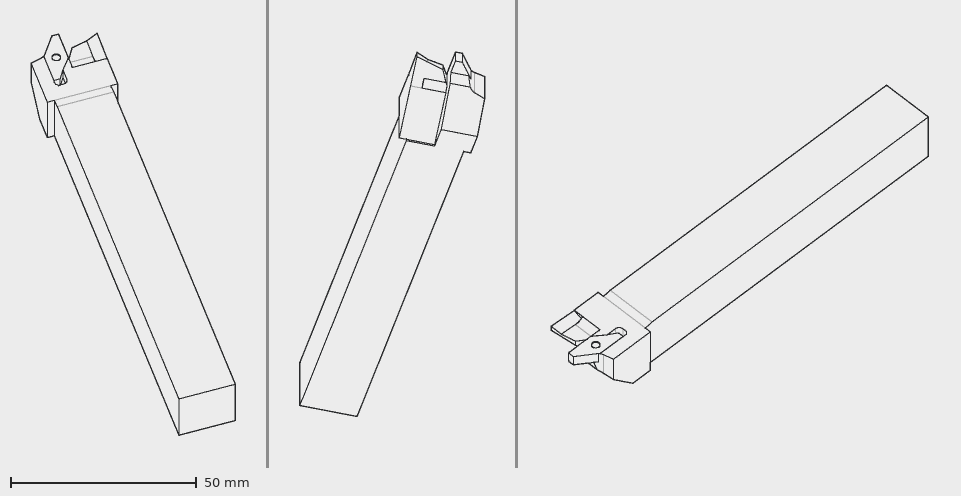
import cadquery as cq
import math

total_length = 128.3
shank_size = 16.0
head_width = 20.0
head_end = 21.0
head_top = 15.7
neck_end = 23.6
half_head = head_width / 2
half_shank = shank_size / 2

split_y = 0.1

nose_x = 4.6
nose_foot_x = 5.4
chamfer_size = 14.4
nose_arc_start = (nose_x, -4.9)
nose_arc_middle = (5.6, -5.8)
nose_arc_end = (6.3, -6.9)
front_side_x = 7.0
insert_side_y = -6.0

jaw_tip_x = 3.2
jaw_inner = (4.9, 2.3)
jaw_root_x = 8.5
jaw_tip_bottom = 14.4
jaw_break = (9.6, 9.4)
jaw_end_bottom = 0.5
relief_start = (7.5, 11.0)
relief_crown = (8.9, 10.5)
pocket_tip_z = 14.9
pocket_root_z = 14.5
pocket_fillet_x = 9.2
pocket_wall_x = 11.9
ledge_y = 6.8

insert_bottom = 12.3
insert_rise = 0.06
insert_tip_y = -1.8
insert_corner_x = 6.0
insert_shoulder = (11.9, -2.6)
insert_back = (14.6, -4.2)
seat_end = 16.5
seat_corner = 1.4
screw_center = (7.3, -3.0)
screw_radius = 1.2
screw_recess = 0.4


def plan_prism(points, bottom, top):
    """Extrude a plan outline between two heights."""
    return cq.Workplane("XY").workplane(offset=bottom).polyline(points).close().extrude(top - bottom)


def side_prism(profile, y_start, y_end):
    """Extrude a closed XZ profile between two Y positions."""
    return profile.close().extrude(y_start - y_end).translate((0, y_start, 0))


def side_outline(points):
    return cq.Workplane("XZ").polyline(points)


def make_shank():
    mid_x = (head_end + neck_end) / 2
    mid_z = head_top + (shank_size - head_top) / 4
    profile = (
        cq.Workplane("XZ")
        .moveTo(head_end, 0)
        .lineTo(total_length, 0)
        .lineTo(total_length, shank_size)
        .lineTo(neck_end, shank_size)
        .threePointArc((mid_x, mid_z), (head_end, head_top))
    )
    return side_prism(profile, -half_shank, half_shank)


def make_support():
    profile = side_outline([
        (nose_x, head_top),
        (nose_x, insert_bottom),
        (nose_foot_x, chamfer_size - nose_foot_x),
        (chamfer_size, 0),
        (head_end, 0),
        (head_end, head_top),
    ])
    plan = (
        cq.Workplane("XY")
        .moveTo(nose_x, split_y)
        .lineTo(*nose_arc_start)
        .threePointArc(nose_arc_middle, nose_arc_end)
        .lineTo(front_side_x, -half_head)
        .lineTo(head_end, -half_head)
        .lineTo(head_end, split_y)
        .close()
        .extrude(head_top)
    )
    return side_prism(profile, -half_head, split_y).intersect(plan)


def make_jaw():
    profile = side_outline([
        (jaw_tip_x, shank_size),
        (jaw_tip_x, jaw_tip_bottom),
        jaw_break,
        (head_end, jaw_end_bottom),
        (head_end, head_top),
        (pocket_wall_x, head_top),
        (pocket_wall_x, shank_size),
    ])
    plan = plan_prism([
        (jaw_tip_x, half_head),
        jaw_inner,
        (jaw_root_x, split_y),
        (head_end, split_y),
        (head_end, half_head),
    ], 0, shank_size)
    relief = cq.Workplane("XZ").moveTo(*relief_start).threePointArc(relief_crown, jaw_break)
    jaw = side_prism(profile, split_y, half_head).intersect(plan)
    jaw = jaw.cut(side_prism(relief, split_y, ledge_y))
    return jaw.cut(make_pocket()).cut(make_ledge_cut())


def make_pocket():
    """Space above the sloping jaw floor, blending up into the head wall."""
    arc_x = pocket_fillet_x + 0.6 * (pocket_wall_x - pocket_fillet_x)
    arc_z = pocket_root_z + 0.25 * (head_top - pocket_root_z)
    profile = (
        cq.Workplane("XZ")
        .moveTo(jaw_tip_x, shank_size)
        .lineTo(jaw_tip_x, pocket_tip_z)
        .lineTo(pocket_fillet_x, pocket_root_z)
        .threePointArc((arc_x, arc_z), (pocket_wall_x, head_top))
        .lineTo(pocket_wall_x, shank_size)
    )
    return side_prism(profile, split_y, ledge_y)


def make_ledge_cut():
    """Space above the outer ledge, which rises toward +Y and falls with the jaw floor."""
    tilt = math.degrees(math.atan2(pocket_tip_z - pocket_root_z, pocket_fillet_x - jaw_tip_x))
    outline = [
        (ledge_y, pocket_tip_z),
        (half_head, shank_size),
        (half_head, head_width),
        (ledge_y, head_width),
    ]
    wedge = cq.Workplane("YZ").polyline(outline).close().extrude(head_end)
    tip = (jaw_tip_x, 0, pocket_tip_z)
    wedge = wedge.rotate(tip, (jaw_tip_x, 1, pocket_tip_z), tilt)
    limit = cq.Workplane("XY").box(pocket_wall_x, half_head, head_width, centered=False)
    return wedge.intersect(limit)


def make_seat():
    """Recess behind the insert, with one rounded corner."""
    shoulder_x, shoulder_y = insert_shoulder
    return (
        cq.Workplane("XY")
        .workplane(offset=insert_bottom)
        .moveTo(shoulder_x, shoulder_y)
        .lineTo(seat_end - seat_corner, shoulder_y)
        .radiusArc((seat_end, shoulder_y - seat_corner), seat_corner)
        .lineTo(seat_end, insert_side_y + seat_corner / 2)
        .lineTo(seat_end - seat_corner / 2, insert_side_y)
        .lineTo(shoulder_x, insert_side_y)
        .close()
        .extrude(head_top - insert_bottom)
    )


def make_insert():
    return plan_prism([
        (0, split_y),
        (0, insert_tip_y),
        (insert_corner_x, insert_side_y),
        (insert_back[0], insert_side_y),
        insert_back,
        insert_shoulder,
        (jaw_root_x, split_y),
    ], insert_bottom, head_top + insert_rise)


def make_screw_recess():
    top = head_top + insert_rise
    plane = cq.Workplane("XY").workplane(offset=top)
    return plane.center(*screw_center).circle(screw_radius).extrude(-screw_recess)


holder = make_shank().union(make_support()).union(make_jaw())
result = holder.cut(make_seat()).union(make_insert()).cut(make_screw_recess())